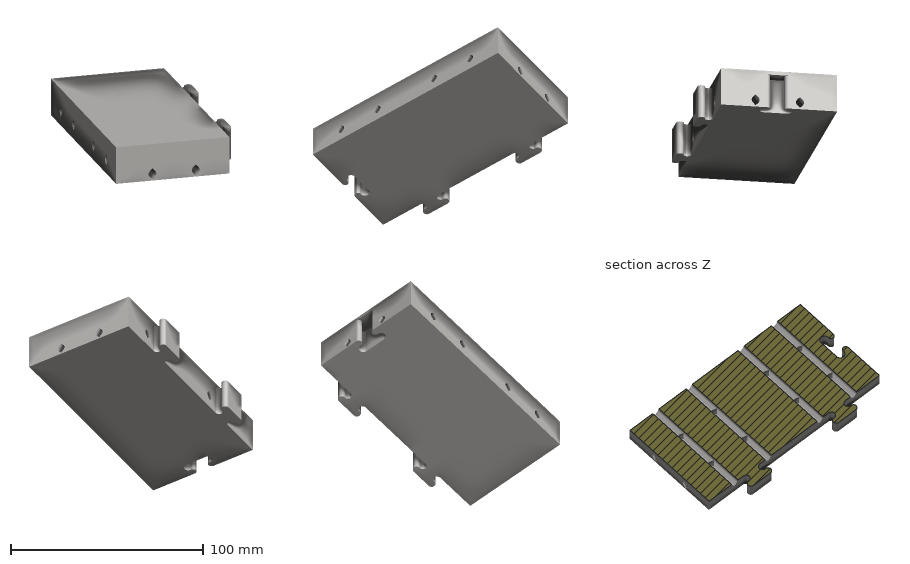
import cadquery as cq
import math

TILE_LENGTH = 119.95
TILE_HEIGHT = 20.0
BACK_Y = 30.0
FRONT_Y = -31.47
LEFT_X = -TILE_LENGTH / 2

CONNECTOR_LENGTH = 8.0
HEAD_UNDERSIDE = 4.0
HEAD_HALF_WIDTH = 8.0
HEAD_CORNER = 1.8
HEAD_CORNER_BULGE = 0.47
HEAD_FLARE_HALF_WIDTH = 4.85
WAIST_HALF_WIDTH = 3.75
WAIST_START = 1.55
WAIST_END = 2.4
ROOT_HALF_WIDTH = 5.6
ROOT_BULGE = 0.25
CONNECTOR_HEIGHT = 17.5
CONNECTOR_X = 30.0
THROAT_CLEARANCE = 0.1
POCKET_CLEARANCE = 0.4
LIP_RADIUS = 1.9
SOCKET_HEIGHT = 18.0

HOLE_DIAMETER = 4.2
HOLE_OFFSET = 11.75
LENGTHWISE_HOLE_Z = 3.7
CROSSWISE_HOLE_Z = 7.7

INLAY_DEPTH = 1.0
LETTER_SHIFT = -0.1
ROUNDNESS = 0.62
BASELINE_Y = -12.0
MID_HEIGHT = 8.87
BOWL_TOP = 17.9
BOWL_BOTTOM = -0.45
COUNTER_TOP = 15.45
COUNTER_BOTTOM = 2.31
SERIF_THICKNESS = 2.31


def connector_profile():
    """Closed outline of a connector that grows toward +Y from a face at y = 0."""
    corner_start_x = HEAD_HALF_WIDTH - HEAD_CORNER
    side_start_y = HEAD_UNDERSIDE + HEAD_CORNER
    side_end_y = CONNECTOR_LENGTH - HEAD_CORNER
    return (
        cq.Workplane("XY")
        .lineTo(ROOT_HALF_WIDTH, 0)
        .sagittaArc((WAIST_HALF_WIDTH, WAIST_START), ROOT_BULGE)
        .lineTo(WAIST_HALF_WIDTH, WAIST_END)
        .lineTo(HEAD_FLARE_HALF_WIDTH, HEAD_UNDERSIDE)
        .lineTo(corner_start_x, HEAD_UNDERSIDE)
        .sagittaArc((HEAD_HALF_WIDTH, side_start_y), -HEAD_CORNER_BULGE)
        .lineTo(HEAD_HALF_WIDTH, side_end_y)
        .sagittaArc((corner_start_x, CONNECTOR_LENGTH), -HEAD_CORNER_BULGE)
        .lineTo(0, CONNECTOR_LENGTH)
        .mirrorY()
    )


def socket_profile():
    """Closed outline of the socket, sunk toward +Y from a face at y = 0: rounded lips, then a wide pocket."""
    throat_half_width = WAIST_HALF_WIDTH + THROAT_CLEARANCE
    mouth_half_width = throat_half_width + LIP_RADIUS
    pocket_start = HEAD_UNDERSIDE - POCKET_CLEARANCE
    pocket_end = CONNECTOR_LENGTH + POCKET_CLEARANCE
    pocket_radius = (pocket_end - pocket_start) / 2
    pocket_half_width = HEAD_HALF_WIDTH + POCKET_CLEARANCE
    pocket_flat = pocket_half_width - pocket_radius
    return (
        cq.Workplane("XY")
        .lineTo(mouth_half_width, 0)
        .radiusArc((throat_half_width, LIP_RADIUS), LIP_RADIUS)
        .lineTo(throat_half_width, WAIST_END)
        .lineTo(throat_half_width + pocket_start - WAIST_END, pocket_start)
        .lineTo(pocket_flat, pocket_start)
        .threePointArc((pocket_half_width, pocket_start + pocket_radius), (pocket_flat, pocket_end))
        .lineTo(0, pocket_end)
        .mirrorY()
    )


def pointed_hole(length):
    """Hole along Y through the origin: a circle joined with the square standing round it on a corner."""
    radius = HOLE_DIAMETER / 2
    shoulder = radius / math.sqrt(2)
    point = radius * math.sqrt(2)
    return (
        cq.Workplane("XZ")
        .moveTo(shoulder, shoulder)
        .lineTo(0, point)
        .lineTo(-shoulder, shoulder)
        .threePointArc((-radius, 0), (-shoulder, -shoulder))
        .lineTo(0, -point)
        .lineTo(shoulder, -shoulder)
        .threePointArc((radius, 0), (shoulder, shoulder))
        .close()
        .extrude(length / 2, both=True)
    )


def letter_plane(middle_x):
    """Sketch plane at the floor of the inlays, centred on a letter's baseline."""
    return cq.Workplane("XY", origin=(middle_x, BASELINE_Y, TILE_HEIGHT - INLAY_DEPTH))


def quarter_turn(start, end, leaves_level):
    """Bezier points of a smooth quarter turn that is level at one end and upright at the other."""
    corner = (end[0], start[1]) if leaves_level else (start[0], end[1])
    handles = [
        tuple(p + ROUNDNESS * (c - p) for p, c in zip(point, corner))
        for point in (start, end)
    ]
    return [start, *handles, end]


def make_letter_c():
    """Open round letter with a blunt upper and lower end."""
    tip_outer_x = 7.2
    tip_inner_x = 4.4
    upper_tip_y = 11.57
    lower_tip_y = 5.79
    shoulder_outer = (6.75, 15.6)
    shoulder_inner = (3.7, 14.25)
    lower_tip_outer = (tip_outer_x, lower_tip_y)
    lower_tip_inner = (tip_inner_x, lower_tip_y)
    outer_top = (0, BOWL_TOP)
    outer_left = (-7.6, MID_HEIGHT)
    outer_bottom = (0, BOWL_BOTTOM)
    inner_bottom = (0, COUNTER_BOTTOM)
    inner_left = (-4.5, MID_HEIGHT)
    inner_top = (0, COUNTER_TOP)
    outer_upper_pull = (4, BOWL_TOP)
    outer_lower_pull = (6.8, BOWL_BOTTOM)
    inner_upper_pull = (3, COUNTER_TOP)
    inner_lower_pull = (3.2, COUNTER_BOTTOM)
    return (
        letter_plane(LETTER_SHIFT - CONNECTOR_X)
        .moveTo(tip_outer_x, upper_tip_y)
        .lineTo(*shoulder_outer)
        .bezier([shoulder_outer, outer_upper_pull, outer_top])
        .bezier(quarter_turn(outer_top, outer_left, True))
        .bezier(quarter_turn(outer_left, outer_bottom, False))
        .bezier([outer_bottom, outer_lower_pull, lower_tip_outer])
        .lineTo(*lower_tip_inner)
        .bezier([lower_tip_inner, inner_lower_pull, inner_bottom])
        .bezier(quarter_turn(inner_bottom, inner_left, True))
        .bezier(quarter_turn(inner_left, inner_top, False))
        .bezier([inner_top, inner_upper_pull, shoulder_inner])
        .lineTo(tip_inner_x, upper_tip_y)
        .close()
        .extrude(INLAY_DEPTH)
    )


def make_letter_d():
    """Slab-serif letter: a stem with a serif at each end and a bowl on its left."""
    ascender_top = 25.46
    stem_left = 2.9
    stem_right = 5.9
    top_serif_left = 0.2
    top_serif_bend_x = 1.75
    top_serif_drop = 0.35
    serif_underside = ascender_top - SERIF_THICKNESS
    foot_left = 3.3
    foot_right = 8.6
    foot_notch_top = 1.35
    bowl_joint_top = (stem_left, 15.8)
    bowl_top = (-2.1, BOWL_TOP)
    bowl_left = (-8.6, MID_HEIGHT)
    bowl_bottom = (-2.1, BOWL_BOTTOM)
    bowl_joint_bottom = (stem_left, 2.2)
    bowl_upper_pull = (0.8, BOWL_TOP)
    bowl_lower_pull = (1.0, BOWL_BOTTOM)
    outline = (
        letter_plane(LETTER_SHIFT + CONNECTOR_X)
        .moveTo(foot_left, 0)
        .lineTo(foot_right, 0)
        .lineTo(foot_right, SERIF_THICKNESS)
        .lineTo(stem_right, SERIF_THICKNESS)
        .lineTo(stem_right, ascender_top)
        .lineTo(top_serif_left, ascender_top)
        .lineTo(top_serif_left, serif_underside)
        .lineTo(top_serif_bend_x, serif_underside)
        .lineTo(stem_left, serif_underside - top_serif_drop)
        .lineTo(*bowl_joint_top)
        .bezier([bowl_joint_top, bowl_upper_pull, bowl_top])
        .bezier(quarter_turn(bowl_top, bowl_left, True))
        .bezier(quarter_turn(bowl_left, bowl_bottom, False))
        .bezier([bowl_bottom, bowl_lower_pull, bowl_joint_bottom])
        .lineTo(foot_left, foot_notch_top)
        .close()
        .extrude(INLAY_DEPTH)
    )

    counter_joint_top = (stem_left, 13.3)
    counter_top = (-1.2, COUNTER_TOP)
    counter_left = (-5.5, MID_HEIGHT)
    counter_bottom = (-1.2, COUNTER_BOTTOM)
    counter_joint_bottom = (stem_left, 4.45)
    counter_upper_pull = (1.2, COUNTER_TOP)
    counter_lower_pull = (1.2, COUNTER_BOTTOM)
    counter = (
        letter_plane(LETTER_SHIFT + CONNECTOR_X)
        .moveTo(*counter_joint_top)
        .bezier([counter_joint_top, counter_upper_pull, counter_top])
        .bezier(quarter_turn(counter_top, counter_left, True))
        .bezier(quarter_turn(counter_left, counter_bottom, False))
        .bezier([counter_bottom, counter_lower_pull, counter_joint_bottom])
        .close()
        .extrude(INLAY_DEPTH)
    )
    return outline.cut(counter)


def make_tile(letters):
    """Tile block with its two connectors, socket, wire holes and letter recesses."""
    width = BACK_Y - FRONT_Y
    tile = cq.Workplane("XY").box(TILE_LENGTH, width, TILE_HEIGHT, centered=(True, False, False))
    tile = tile.translate((0, FRONT_Y, 0))

    plug = connector_profile().extrude(CONNECTOR_HEIGHT)
    for x in (-CONNECTOR_X, CONNECTOR_X):
        tile = tile.union(plug.translate((x, BACK_Y, 0)))

    socket = socket_profile().extrude(SOCKET_HEIGHT)
    socket = socket.rotate((0, 0, 0), (0, 0, 1), -90)
    tile = tile.cut(socket.translate((LEFT_X, 0, 0)))

    crosswise_hole = pointed_hole(2 * width)
    for x in (-CONNECTOR_X, CONNECTOR_X):
        for side in (-1, 1):
            tile = tile.cut(crosswise_hole.translate((x + side * HOLE_OFFSET, 0, CROSSWISE_HOLE_Z)))

    lengthwise_hole = pointed_hole(2 * TILE_LENGTH).rotate((0, 0, 0), (0, 0, 1), 90)
    for side in (-1, 1):
        tile = tile.cut(lengthwise_hole.translate((0, side * HOLE_OFFSET, LENGTHWISE_HOLE_Z)))

    for letter in letters:
        tile = tile.cut(letter)
    return tile


letter_c = make_letter_c()
letter_d = make_letter_d()
tile = make_tile([letter_c, letter_d])

result = cq.Compound.makeCompound([tile.val(), letter_c.val(), letter_d.val()])